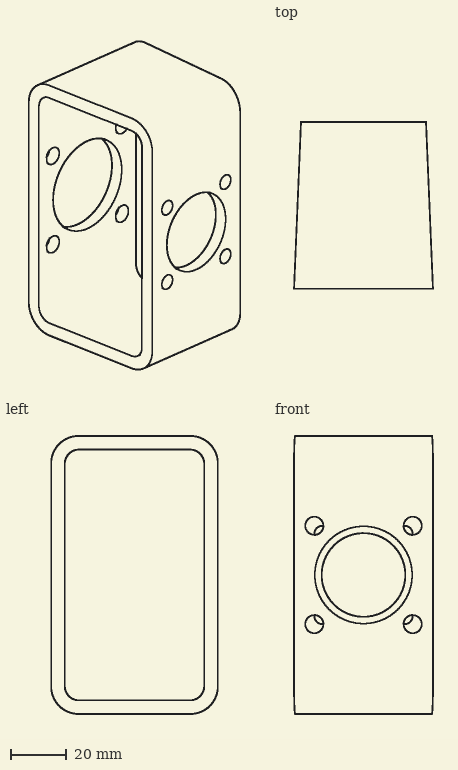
import cadquery as cq

depth = 60.0
height = 100.0
wall = 5.0
outer_radius = 10.0
inner_radius = outer_radius - wall

front_width = 50.0
back_width = 45.0

front_bore_diameter = 35.0
front_screw_diameter = 6.5
front_bolt_circle = 50.0
back_bore_diameter = 30.0
back_screw_diameter = 5.5
back_bolt_circle = 42.0


def rounded_bar(size_y, size_z, radius):
    """Solid bar along X with rounded long edges."""
    return cq.Workplane("XY").box(front_width, size_y, size_z).edges("|X").fillet(radius)


def tapered_envelope():
    """Trapezoidal prism that trims both open ends of the tube."""
    outline = [
        (-front_width / 2, -depth / 2),
        (front_width / 2, -depth / 2),
        (back_width / 2, depth / 2),
        (-back_width / 2, depth / 2),
    ]
    return cq.Workplane("XY").polyline(outline).close().extrude(height / 2, both=True)


def hole_pattern(wall_start, bore_diameter, screw_diameter, bolt_circle):
    """Cutters through one wall, running in -Y from the wall's +Y face."""
    plane = cq.Workplane("XZ", origin=(0, wall_start, 0))
    bore = plane.circle(bore_diameter / 2).extrude(wall)
    screws = (
        plane.polarArray(bolt_circle / 2, 45, 360, 4)
        .circle(screw_diameter / 2)
        .extrude(wall)
    )
    return bore.union(screws)


tube = rounded_bar(depth, height, outer_radius).cut(
    rounded_bar(depth - 2 * wall, height - 2 * wall, inner_radius)
)
tube = tube.intersect(tapered_envelope())

front_holes = hole_pattern(
    -depth / 2 + wall, front_bore_diameter, front_screw_diameter, front_bolt_circle
)
back_holes = hole_pattern(
    depth / 2, back_bore_diameter, back_screw_diameter, back_bolt_circle
)

result = tube.cut(front_holes).cut(back_holes)